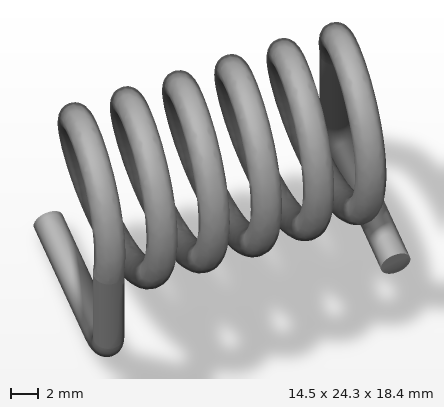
import cadquery as cq

overall_length = 24.25
wire_diameter = 2.25
coil_radius = 6.14
turns = 5.5
foot_drop = 10.0
bend_radius = 2.0

wire_radius = wire_diameter / 2
coil_length = overall_length - wire_diameter
pitch = coil_length / turns
front_y = -coil_length / 2


def make_coil():
    """Left-handed coil along Y, from the +X side at the front to the -X side at the back."""
    helix = cq.Wire.makeHelix(pitch, coil_length, coil_radius, lefthand=True)
    section = cq.Workplane("XZ").center(coil_radius, 0).circle(wire_radius)
    coil = section.sweep(cq.Workplane(obj=helix), isFrenet=True)
    return coil.rotate((0, 0, 0), (1, 0, 0), -90).translate((0, front_y, 0))


def make_front_end():
    """Straight leg, bend and foot; the foot runs under the coil from +X to -X."""
    path = (
        cq.Workplane("XZ", origin=(0, front_y, 0))
        .moveTo(coil_radius, 0)
        .lineTo(coil_radius, bend_radius - foot_drop)
        .tangentArcPoint((coil_radius - bend_radius, -foot_drop), relative=False)
        .lineTo(-coil_radius, -foot_drop)
    )
    section = cq.Workplane("XY", origin=(coil_radius, front_y, 0)).circle(wire_radius)
    return section.sweep(path)


front_end = make_front_end()
back_end = front_end.rotate((0, 0, 0), (0, 0, 1), 180)
result = make_coil().union(front_end).union(back_end)